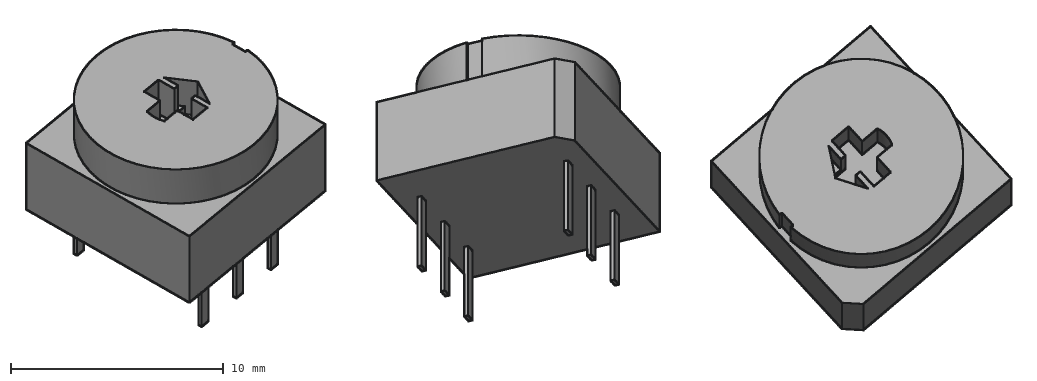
import cadquery as cq
import math

BODY_SIDE = 10.0
BODY_HEIGHT = 4.3
CORNER_CHAMFER = 0.71

PIN_LENGTH = 3.8
PIN_THICKNESS = 0.21
PIN_WIDTH = 0.5
PIN_PITCH = 2.54
PINS_PER_ROW = 3
ROW_SPACING = 3 * PIN_PITCH

TOTAL_HEIGHT = 10.3
KNOB_DIAMETER = 9.6
NOTCH_WIDTH = 0.8
NOTCH_FLOOR_Y = 4.64

CROSS_DEPTH = 2.2
CROSS_ARM_WIDTH = 1.05
CROSS_SPAN_X = 2.99
CROSS_END_RADIUS = 1.57
ARROW_DEPTH = 1.7
ARROW_BASE_Y = 0.81
ARROW_HALF_WIDTH = 1.39
ARROW_SLOPE = 30.0

BODY_BOTTOM = PIN_LENGTH
BODY_TOP = BODY_BOTTOM + BODY_HEIGHT
KNOB_HEIGHT = TOTAL_HEIGHT - BODY_TOP


def make_body():
    """Square housing with its (-X, +Y) upright edge chamfered."""
    box = cq.Workplane("XY", origin=(0, 0, BODY_BOTTOM)).box(
        BODY_SIDE, BODY_SIDE, BODY_HEIGHT, centered=(True, True, False)
    )
    return box.edges("|Z").edges("<X").edges(">Y").chamfer(CORNER_CHAMFER)


def make_pins():
    """Both rows of pins, hanging from the underside of the housing."""
    return (
        cq.Workplane("XY")
        .rarray(ROW_SPACING, PIN_PITCH, 2, PINS_PER_ROW)
        .rect(PIN_THICKNESS, PIN_WIDTH)
        .extrude(PIN_LENGTH)
    )


def make_knob():
    """Round knob, notched through its full height at +Y."""
    knob = cq.Workplane("XY", origin=(0, 0, BODY_TOP)).circle(KNOB_DIAMETER / 2).extrude(KNOB_HEIGHT)
    notch = cq.Workplane("XY", origin=(0, NOTCH_FLOOR_Y, BODY_TOP)).box(
        NOTCH_WIDTH, KNOB_DIAMETER, KNOB_HEIGHT, centered=(True, False, False)
    )
    return knob.cut(notch)


def make_recess():
    """Cross-shaped recess and its shallower arrowhead, as one cutting solid."""
    arrow_tip_y = ARROW_BASE_Y + ARROW_HALF_WIDTH * math.tan(math.radians(ARROW_SLOPE))
    half_arm = CROSS_ARM_WIDTH / 2
    arm_corner_y = -math.sqrt(CROSS_END_RADIUS**2 - half_arm**2)
    arm_shoulder_y = arrow_tip_y - half_arm * math.tan(math.radians(ARROW_SLOPE))

    top = cq.Workplane("XY", origin=(0, 0, TOTAL_HEIGHT))
    cross_arm_x = top.rect(CROSS_SPAN_X, CROSS_ARM_WIDTH).extrude(-CROSS_DEPTH)
    cross_arm_y = (
        top.moveTo(half_arm, arm_corner_y)
        .lineTo(half_arm, arm_shoulder_y)
        .lineTo(0, arrow_tip_y)
        .lineTo(-half_arm, arm_shoulder_y)
        .lineTo(-half_arm, arm_corner_y)
        .threePointArc((0, -CROSS_END_RADIUS), (half_arm, arm_corner_y))
        .close()
        .extrude(-CROSS_DEPTH)
    )
    arrowhead = (
        top.moveTo(-ARROW_HALF_WIDTH, ARROW_BASE_Y)
        .lineTo(ARROW_HALF_WIDTH, ARROW_BASE_Y)
        .lineTo(0, arrow_tip_y)
        .close()
        .extrude(-ARROW_DEPTH)
    )
    return cross_arm_x.union(cross_arm_y).union(arrowhead)


result = make_body().union(make_pins()).union(make_knob()).cut(make_recess())